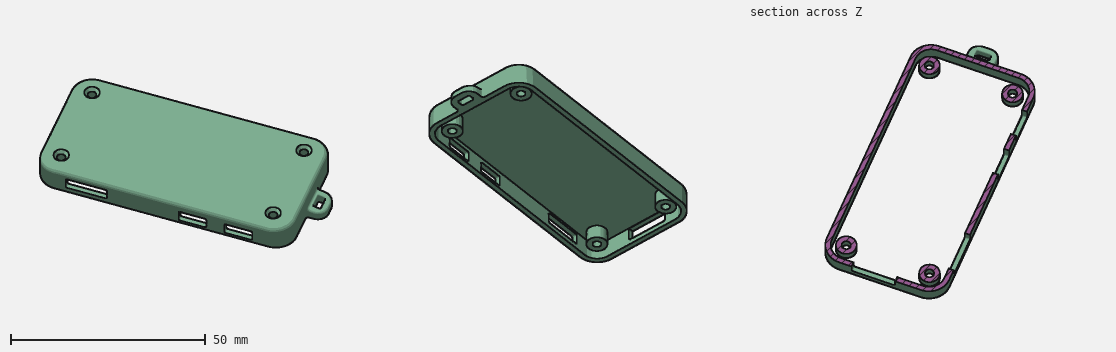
import cadquery as cq
import math

LENGTH = 69.9
WIDTH = 34.0
HEIGHT = 7.0
CORNER_RADIUS = 5.7
TOP_EDGE_RADIUS = 1.6
WALL = 1.5
ROOF = 1.5

BOARD_CENTER_X = -0.4

SCREW_PITCH_X = 58.0
SCREW_PITCH_Y = 23.0
POST_DIAMETER = 5.45
POST_BOTTOM = 1.5
SCREW_HOLE_DIAMETER = 2.25
COUNTERSINK_DIAMETER = 4.0
COUNTERSINK_ANGLE = 90.0

WINDOW_HEIGHT = 3.2
WINDOW_CORNER_RADIUS = 0.5
VIDEO_WINDOW = (BOARD_CENTER_X - 20.15, 1.55, 11.3)
DATA_WINDOW = (BOARD_CENTER_X + 8.9, 0.85, 7.6)
POWER_WINDOW = (BOARD_CENTER_X + 21.45, 0.85, 7.6)

CARD_WINDOW_CENTER_Y = 1.85
CARD_WINDOW_WIDTH = 12.0
CARD_WINDOW_SILL = 1.55
CARD_WINDOW_TOP = HEIGHT - TOP_EDGE_RADIUS

LUG_LENGTH = 5.0
LUG_WIDTH = 8.0
LUG_ROOT_HEIGHT = 3.0
LUG_SLOPE = 10.0
LUG_CORNER_RADIUS = 3.0
LUG_EDGE_RADIUS = 0.75
LUG_ROOT_RADIUS = 0.75
LUG_OVERLAP = WALL / 2

SLOT_LENGTH = 2.0
SLOT_WIDTH = 3.9
SLOT_DISTANCE_FROM_WALL = 1.05
SLOT_CENTER_X = LENGTH / 2 + SLOT_DISTANCE_FROM_WALL + SLOT_LENGTH / 2
SLOT_CORNER_RADIUS = 0.4
SLOT_EDGE_RADIUS = 0.4

PICK_MARGIN = 0.01


def make_block():
    block = cq.Workplane("XY").box(LENGTH, WIDTH, HEIGHT, centered=(True, True, False))
    block = block.edges("|Z").fillet(CORNER_RADIUS)
    return block.faces(">Z").edges().fillet(TOP_EDGE_RADIUS)


def make_lug():
    """Rounded tongue with a sloping top, reaching slightly into the wall."""
    wall_x = LENGTH / 2
    slope = math.tan(math.radians(LUG_SLOPE))
    profile = [
        (wall_x - LUG_OVERLAP, 0),
        (wall_x + LUG_LENGTH, 0),
        (wall_x + LUG_LENGTH, LUG_ROOT_HEIGHT - LUG_LENGTH * slope),
        (wall_x - LUG_OVERLAP, LUG_ROOT_HEIGHT + LUG_OVERLAP * slope),
    ]
    lug = cq.Workplane("XZ").polyline(profile).close().extrude(LUG_WIDTH / 2, both=True)
    lug = lug.edges("|Z and >X").fillet(LUG_CORNER_RADIUS)
    top_rim = lug.faces(">Z").edges("not <X")
    return top_rim.fillet(LUG_EDGE_RADIUS)


def cut_slot(lug):
    """Cut the slot through the lug and round its upper rim."""
    slot = cq.Workplane("XY").box(SLOT_LENGTH, SLOT_WIDTH, 2 * LUG_ROOT_HEIGHT)
    slot = slot.edges("|Z").fillet(SLOT_CORNER_RADIUS).translate((SLOT_CENTER_X, 0, 0))
    lug = lug.cut(slot)
    reach_x = SLOT_LENGTH / 2 + PICK_MARGIN
    reach_y = SLOT_WIDTH / 2 + PICK_MARGIN
    rim_box = cq.selectors.BoxSelector(
        (SLOT_CENTER_X - reach_x, -reach_y, LUG_ROOT_HEIGHT / 2),
        (SLOT_CENTER_X + reach_x, reach_y, LUG_ROOT_HEIGHT),
        boundingbox=True,
    )
    return lug.edges(rim_box).fillet(SLOT_EDGE_RADIUS)


def round_lug_root(body):
    """Blend the lug into the wall along the seam where they meet."""
    seam_box = cq.selectors.BoxSelector(
        (LENGTH / 2 - PICK_MARGIN, -LUG_WIDTH / 2 - PICK_MARGIN, PICK_MARGIN),
        (LENGTH / 2 + PICK_MARGIN, LUG_WIDTH / 2 + PICK_MARGIN, LUG_ROOT_HEIGHT + PICK_MARGIN),
        boundingbox=False,
    )
    return body.edges(seam_box).fillet(LUG_ROOT_RADIUS)


def make_cavity():
    cavity = cq.Workplane("XY").box(
        LENGTH - 2 * WALL, WIDTH - 2 * WALL, HEIGHT - ROOF, centered=(True, True, False)
    )
    return cavity.edges("|Z").fillet(CORNER_RADIUS - WALL)


def screw_points(plane):
    return plane.center(BOARD_CENTER_X, 0).rarray(SCREW_PITCH_X, SCREW_PITCH_Y, 2, 2)


def make_posts():
    posts = screw_points(cq.Workplane("XY", origin=(0, 0, POST_BOTTOM)))
    return posts.circle(POST_DIAMETER / 2).extrude(HEIGHT - ROOF / 2 - POST_BOTTOM)


def drill_screw_holes(body):
    roof_plane = body.faces(">Z").workplane(origin=(0, 0, HEIGHT))
    return screw_points(roof_plane).cskHole(
        SCREW_HOLE_DIAMETER, COUNTERSINK_DIAMETER, COUNTERSINK_ANGLE
    )


def make_front_window(center_x, sill, width):
    window = cq.Workplane("XY").box(width, 2 * WALL, WINDOW_HEIGHT, centered=(True, True, False))
    window = window.edges("|Y").fillet(WINDOW_CORNER_RADIUS)
    return window.translate((center_x, -WIDTH / 2, sill))


def make_card_window():
    window = cq.Workplane("XY").box(
        2 * WALL, CARD_WINDOW_WIDTH, CARD_WINDOW_TOP - CARD_WINDOW_SILL, centered=(True, True, False)
    )
    window = window.edges("|X and <Z").fillet(WINDOW_CORNER_RADIUS)
    return window.translate((-LENGTH / 2, CARD_WINDOW_CENTER_Y, CARD_WINDOW_SILL))


lug = cut_slot(make_lug())
body = make_block().union(lug)
body = round_lug_root(body)
body = body.cut(make_cavity()).union(make_posts())
for window in (VIDEO_WINDOW, DATA_WINDOW, POWER_WINDOW):
    body = body.cut(make_front_window(*window))
body = body.cut(make_card_window())
result = drill_screw_holes(body)